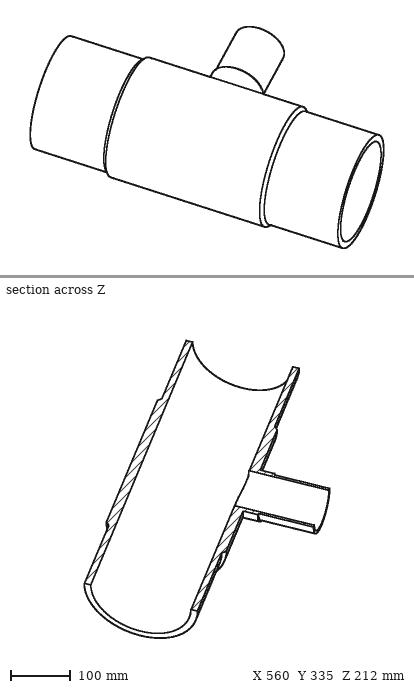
import cadquery as cq

thickening = 1.06

pipe_length = 560.0
pipe_diameter = 200.0
pipe_wall = 11.9
bore_diameter = pipe_diameter - 2 * pipe_wall

sleeve_length = 292.0
sleeve_diameter = pipe_diameter * thickening
sleeve_bevel = (sleeve_diameter - pipe_diameter) / 2

branch_reach = 229.0
branch_diameter = 90.0
branch_wall = branch_diameter * pipe_wall / pipe_diameter
branch_bore_diameter = branch_diameter - 2 * branch_wall
collar_reach = 132.5
collar_diameter = branch_diameter * thickening
collar_bevel_width = (collar_diameter - branch_diameter) / 2
collar_bevel_height = 1.2


def cylinder_along_x(diameter, length):
    """Solid cylinder on the X axis, centred on the origin."""
    return cq.Workplane("YZ").circle(diameter / 2).extrude(length / 2, both=True)


def cylinder_along_y(diameter, reach):
    """Solid cylinder from the main pipe axis out to +Y."""
    return cq.Workplane("XZ").circle(diameter / 2).extrude(-reach)


def make_run():
    """Main pipe with its bevelled sleeve, still solid."""
    sleeve = cylinder_along_x(sleeve_diameter, sleeve_length)
    sleeve = sleeve.faces("<X or >X").chamfer(sleeve_bevel)
    return cylinder_along_x(pipe_diameter, pipe_length).union(sleeve)


def make_branch():
    """Branch pipe with its bevelled collar, still solid."""
    collar = cylinder_along_y(collar_diameter, collar_reach)
    collar = collar.faces(">Y").chamfer(collar_bevel_height, collar_bevel_width)
    return cylinder_along_y(branch_diameter, branch_reach).union(collar)


def make_bores():
    """Through bore of the main pipe and the branch bore that opens into it."""
    run_bore = cylinder_along_x(bore_diameter, pipe_length)
    branch_bore = cylinder_along_y(branch_bore_diameter, branch_reach)
    return run_bore.union(branch_bore)


result = make_run().union(make_branch()).cut(make_bores())